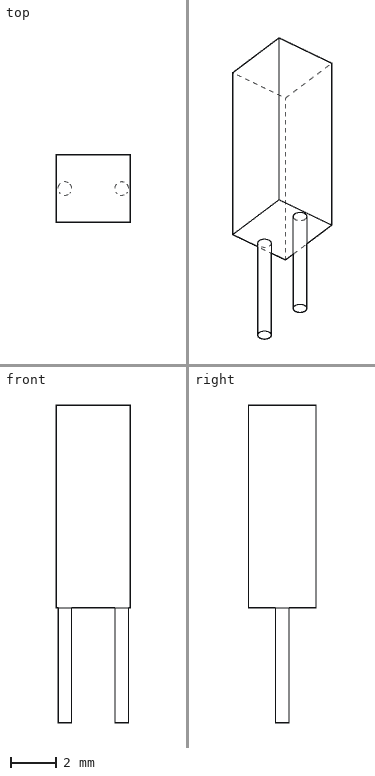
import cadquery as cq

total_height = 14.1
body_width = 3.3
body_depth = 3.0
body_height = 9.0

lead_diameter = 0.6
lead_spacing = 2.52
lead_length = total_height - body_height


def make_body():
    """Rectangular block with its bottom face at Z = 0."""
    return cq.Workplane("XY").box(
        body_width, body_depth, body_height, centered=(True, True, False)
    )


def make_lead(x):
    """Round lead that hangs from the bottom face of the body at the given X."""
    return cq.Workplane("XY").center(x, 0).circle(lead_diameter / 2).extrude(-lead_length)


body = make_body()
leads = [make_lead(side * lead_spacing / 2) for side in (-1, 1)]

result = cq.Compound.makeCompound([body.val(), *[lead.val() for lead in leads]])